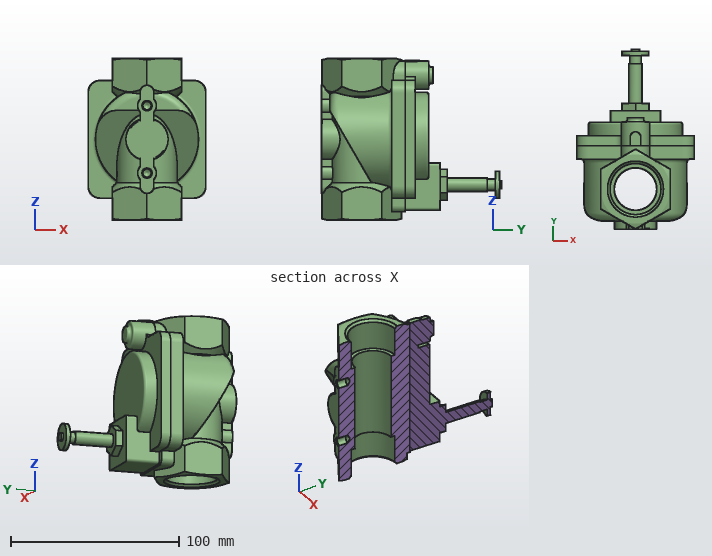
import cadquery as cq
import math


front_face = -24.0
bowl_face = -19.0
flange_back = 17.8
split_plane = 25.8
plate_front = 31.7
dome_front = 39.8

flange_side = 70.0
flange_corner = 7.1
flange_top = flange_side / 2

bowl_radius = 30.6
bowl_root_fillet = 1.9
bowl_edge_fillet = 5.0
slope_top_z = 17.1
slope_angle = 30.0

pipe_length = 96.0
pipe_half_length = pipe_length / 2
pipe_radius = 18.0
hex_flats = 41.1
hex_turn = 30.0
hex_inner_z = 25.7
hex_end_chamfer_angle = 15.0
bore_diameter = 25.0
thread_diameter = 30.3
thread_depth = 19.7
thread_mouth_diameter = 33.3

boss_diameter = 25.0
boss_fillet = 0.6
boss_root = -8.6
bar_root = -15.8
bar_width = 8.1
bar_length = 64.2
lug_diameter = 11.1
lug_spacing = 40.0
screw_hole_diameter = 4.9
screw_hole_depth = 6.4
screw_chamfer = 0.5
drill_point_angle = 118.0

post_diameter = 17.0
post_z = 38.1
post_front = 39.9
post_fillet = 1.0
post_tip_front = 42.4
post_tip_diameter = 10.0
post_tip_edge = 0.5
post_tip_root = 1.2
pad_width = 6.2
pad_top_z = 47.1
pad_front = 34.0
web_half_width = 12.1
web_top_z = 37.3
web_fillet = 4.1

dome_diameter = 56.1
dome_fillet = 1.7

block_width = 30.0
block_top_z = -14.0
block_bottom_z = -42.2
block_corner = 1.7
block_front = 46.5
block_pad_width = 38.1
block_pad_bottom_z = -43.1
block_pad_corner = 3.6
stem_z = -27.0
nut_flats = 16.0
nut_front = 50.8
tube_diameter = 8.0
tube_front = 74.5
neck_diameter = 7.0
neck_front = 79.3
disc_diameter = 16.0
disc_front = 81.9
button_diameter = 5.0
button_front = 83.0


def plane_at(y, x=0, z=0):
    """XZ sketch plane at a given Y, facing +Y, with local y along +Z."""
    return cq.Workplane(cq.Plane(origin=(x, y, z), xDir=(-1, 0, 0), normal=(0, 1, 0)))


def rod(diameter, y_start, y_end, z=0, x=0):
    """Cylinder along Y."""
    return plane_at(y_start, x, z).circle(diameter / 2).extrude(y_end - y_start)


def block_along_y(width, z_low, z_high, y_start, y_end):
    """Box centered on X = 0."""
    middle = plane_at(y_start, 0, (z_low + z_high) / 2)
    return middle.rect(width, z_high - z_low).extrude(y_end - y_start)


def flange_layer(y_start, y_end):
    """Square plate with rounded corners."""
    layer = block_along_y(flange_side, -flange_top, flange_top, y_start, y_end)
    return layer.edges("|Y").fillet(flange_corner)



def make_bowl():
    """Turned bowl with the sloped face cut off its lower front."""
    bowl = (
        cq.Workplane("XY")
        .moveTo(0, split_plane)
        .lineTo(bowl_radius, split_plane)
        .lineTo(bowl_radius, bowl_face)
        .lineTo(0, bowl_face)
        .close()
        .revolve(360, (0, 0, 0), (0, 1, 0))
        .faces("<Y")
        .edges()
        .fillet(bowl_edge_fillet)
    )
    slope_drop = slope_top_z + bowl_radius
    slope_end_y = bowl_face + slope_drop * math.tan(math.radians(slope_angle))
    wedge = (
        cq.Workplane("YZ")
        .polyline([(bowl_face, slope_top_z), (slope_end_y, -bowl_radius), (bowl_face, -bowl_radius)])
        .close()
        .extrude(bowl_radius, both=True)
    )
    return bowl.cut(wedge)


def make_bowl_root():
    """Concave ring joining the bowl to the flange."""
    root_y = flange_back - bowl_root_fillet
    root_radius = bowl_radius + bowl_root_fillet
    return (
        cq.Workplane("XY")
        .moveTo(bowl_radius, root_y)
        .radiusArc((root_radius, flange_back), bowl_root_fillet)
        .lineTo(bowl_radius, flange_back)
        .close()
        .revolve(360, (0, 0, 0), (0, 1, 0))
    )


def make_pipe_end():
    """Upper hexagon, with a cone toward the bowl and a slight chamfer at its end."""
    corner_radius = hex_flats / math.sqrt(3)
    flat_radius = hex_flats / 2
    chamfer_height = (corner_radius - flat_radius) * math.tan(math.radians(hex_end_chamfer_angle))
    prism = (
        cq.Workplane("XY")
        .workplane(offset=hex_inner_z)
        .polygon(6, 2 * corner_radius)
        .extrude(pipe_half_length - hex_inner_z)
        .rotate((0, 0, 0), (0, 0, 1), hex_turn)
    )
    turned = (
        cq.Workplane("XZ")
        .moveTo(0, hex_inner_z)
        .lineTo(pipe_radius, hex_inner_z)
        .lineTo(corner_radius, hex_inner_z + corner_radius - pipe_radius)
        .lineTo(corner_radius, pipe_half_length - chamfer_height)
        .lineTo(flat_radius, pipe_half_length)
        .lineTo(0, pipe_half_length)
        .close()
        .revolve(360, (0, 0, 0), (0, 1, 0))
    )
    return prism.intersect(turned)


def make_bore():
    """Through bore with a wider, chamfered thread bore at both ends."""
    bore_radius = bore_diameter / 2
    thread_radius = thread_diameter / 2
    mouth_radius = thread_mouth_diameter / 2
    half = (
        cq.Workplane("XZ")
        .moveTo(0, 0)
        .lineTo(bore_radius, 0)
        .lineTo(bore_radius, pipe_half_length - thread_depth)
        .lineTo(thread_radius, pipe_half_length - thread_depth)
        .lineTo(thread_radius, pipe_half_length - (mouth_radius - thread_radius))
        .lineTo(mouth_radius, pipe_half_length)
        .lineTo(0, pipe_half_length)
        .close()
        .revolve(360, (0, 0, 0), (0, 1, 0))
    )
    return half.union(half.mirror("XY"))


def make_boss_and_bar():
    boss = rod(boss_diameter, front_face, boss_root).faces("<Y").edges().fillet(boss_fillet)
    bar = plane_at(front_face).slot2D(bar_length, bar_width, 90).extrude(bar_root - front_face)
    boss = boss.union(bar)
    for side in (1, -1):
        boss = boss.union(rod(lug_diameter, front_face, bar_root, side * lug_spacing / 2))
    return boss


def make_screw_hole(z):
    """Blind drilled hole with a chamfered mouth and a conical bottom."""
    radius = screw_hole_diameter / 2
    bottom = front_face + screw_hole_depth
    point_length = radius / math.tan(math.radians(drill_point_angle / 2))
    return (
        cq.Workplane("XY")
        .moveTo(0, front_face)
        .lineTo(radius + screw_chamfer, front_face)
        .lineTo(radius, front_face + screw_chamfer)
        .lineTo(radius, bottom)
        .lineTo(0, bottom + point_length)
        .close()
        .revolve(360, (0, 0, 0), (0, 1, 0))
        .translate((0, 0, z))
    )


def make_housing():
    pipe_end = make_pipe_end()
    post = rod(post_diameter, flange_back, split_plane, post_z)
    post_neck = block_along_y(post_diameter, 0, post_z, flange_back, split_plane)
    block_pad = block_along_y(block_pad_width, block_pad_bottom_z, 0, flange_back, split_plane)
    block_pad = block_pad.edges("|Y and <Z").fillet(block_pad_corner)
    pipe = cq.Workplane("XY").circle(pipe_radius).extrude(hex_inner_z, both=True)
    housing = make_bowl()
    housing = housing.union(flange_layer(flange_back, split_plane))
    housing = housing.union(make_bowl_root())
    housing = housing.union(pipe)
    housing = housing.union(pipe_end)
    housing = housing.union(pipe_end.mirror("XY"))
    housing = housing.union(post)
    housing = housing.union(post_neck)
    housing = housing.union(block_pad)
    housing = housing.union(make_boss_and_bar())
    housing = housing.cut(make_bore())
    for side in (1, -1):
        housing = housing.cut(make_screw_hole(side * lug_spacing / 2))
    return housing



def make_post_tip():
    """Small turned tip, flared where it meets the post."""
    tip_radius = post_tip_diameter / 2
    end_radius = tip_radius - post_tip_edge
    return (
        cq.Workplane("XY")
        .moveTo(0, post_front)
        .lineTo(tip_radius + post_tip_root, post_front)
        .radiusArc((tip_radius, post_front + post_tip_root), post_tip_root)
        .lineTo(tip_radius, post_tip_front - post_tip_edge)
        .radiusArc((end_radius, post_tip_front), -post_tip_edge)
        .lineTo(0, post_tip_front)
        .close()
        .revolve(360, (0, 0, 0), (0, 1, 0))
        .translate((0, 0, post_z))
    )


def make_cover_post():
    """Round post with its tip and the flat pad on top."""
    post = rod(post_diameter, split_plane, post_front, post_z)
    post = post.faces(">Y").edges().fillet(post_fillet)
    pad_radius = pad_width / 2
    round_start = pad_front - pad_radius
    pad = (
        cq.Workplane("XY")
        .workplane(offset=post_z)
        .moveTo(-pad_radius, split_plane)
        .lineTo(-pad_radius, round_start)
        .threePointArc((0, pad_front), (pad_radius, round_start))
        .lineTo(pad_radius, split_plane)
        .close()
        .extrude(pad_top_z - post_z)
    )
    return post.union(pad).union(make_post_tip())


def make_post_web():
    """Web under the post, hollowed on both sides down to the plate."""
    web = block_along_y(2 * web_half_width, 0, web_top_z, split_plane, plate_front)
    for side in (1, -1):
        hollow_z = flange_top + web_fillet
        web = web.cut(rod(2 * web_fillet, split_plane, plate_front, hollow_z, side * web_half_width))
    return web


def make_stem():
    """Valve block, nut, guide tube and end disc, one behind the other."""
    block = block_along_y(block_width, block_bottom_z, block_top_z, split_plane, block_front)
    block = block.edges("|Y").fillet(block_corner)
    nut_profile = plane_at(block_front, 0, stem_z).transformed(rotate=(0, 0, hex_turn))
    nut = nut_profile.polygon(6, 2 * nut_flats / math.sqrt(3)).extrude(nut_front - block_front)
    stem = block.union(nut)
    start = nut_front
    steps = [
        (tube_diameter, tube_front),
        (neck_diameter, neck_front),
        (disc_diameter, disc_front),
        (button_diameter, button_front),
    ]
    for diameter, end in steps:
        stem = stem.union(rod(diameter, start, end, stem_z))
        start = end
    return stem


def make_cover():
    dome = rod(dome_diameter, split_plane, dome_front).faces(">Y").edges().fillet(dome_fillet)
    cover = flange_layer(split_plane, plate_front)
    cover = cover.union(dome)
    cover = cover.union(make_post_web())
    cover = cover.union(make_cover_post())
    cover = cover.union(make_stem())
    return cover


housing = make_housing()
cover = make_cover()
result = cq.Compound.makeCompound([housing.solids().val(), cover.solids().val()])